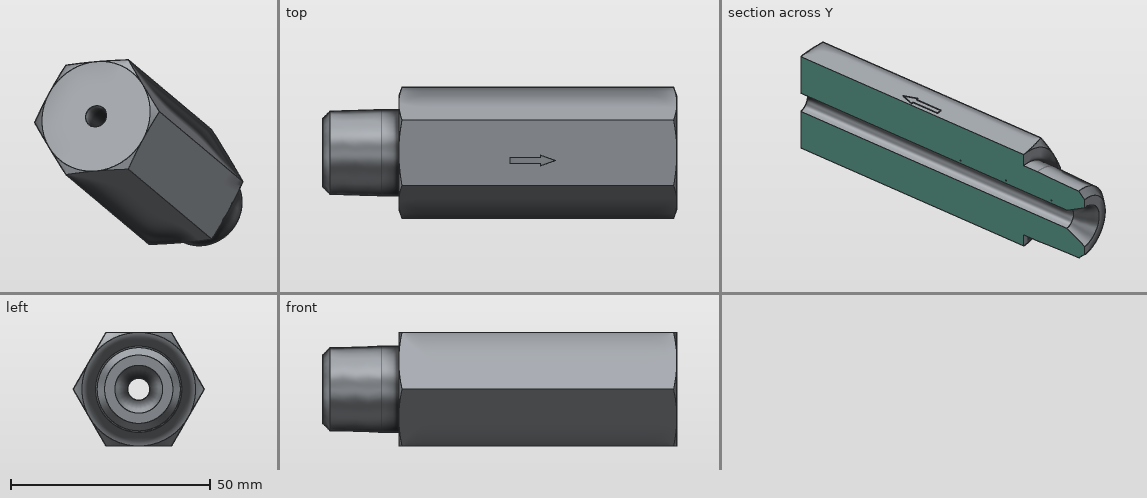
import cadquery as cq
import math

total_length = 88.9
across_flats = 28.5
across_corners = across_flats / math.cos(math.radians(30))

nose_length = 19.1
nose_diameter = 21.7
taper_length = 14.8
taper_ratio = 1 / 16
nose_chamfer = 1.9

body_chamfer = 0.8

bore_diameter = 5.5
countersink_diameter = 12.0
countersink_depth = 5.6

arrow_tail_x = 2.6
arrow_length = 11.4
arrow_head_length = 3.7
arrow_head_width = 2.7
arrow_shaft_width = 1.4
arrow_centre_y = -2.0
arrow_depth = 0.2

start_x = -total_length / 2
end_x = total_length / 2
body_x = start_x + nose_length


def revolve_about_x(profile):
    """Turn a closed (x, radius) profile around the X axis."""
    return cq.Workplane("XY").polyline(profile).close().revolve(360, (0, 0, 0), (1, 0, 0))


def make_body():
    """Hexagonal bar with its corners turned down to the across-flats circle at both ends."""
    hexagon = (
        cq.Workplane("YZ", origin=(body_x, 0, 0))
        .polygon(6, across_corners)
        .extrude(end_x - body_x)
    )
    turned_envelope = revolve_about_x([
        (body_x, 0),
        (body_x, across_flats / 2),
        (body_x + body_chamfer, across_corners / 2),
        (end_x - body_chamfer, across_corners / 2),
        (end_x, across_flats / 2),
        (end_x, 0),
    ])
    return hexagon.intersect(turned_envelope)


def make_nose():
    """Tapered thread blank with a chamfered tip and a straight neck."""
    nose_radius = nose_diameter / 2
    taper_drop = (taper_length - nose_chamfer) * taper_ratio / 2
    tip_radius = nose_radius - taper_drop
    return revolve_about_x([
        (start_x, 0),
        (start_x, tip_radius - nose_chamfer),
        (start_x + nose_chamfer, tip_radius),
        (start_x + taper_length, nose_radius),
        (body_x, nose_radius),
        (body_x, 0),
    ])


def make_bore():
    """Through bore that opens out in a cone at the tip of the nose."""
    return revolve_about_x([
        (start_x, 0),
        (start_x, countersink_diameter / 2),
        (start_x + countersink_depth, bore_diameter / 2),
        (end_x, bore_diameter / 2),
        (end_x, 0),
    ])


def make_arrow():
    """Arrow pointing to +X, sunk into the top flat."""
    neck_x = arrow_tail_x + arrow_length - arrow_head_length
    half_shaft = arrow_shaft_width / 2
    half_head = arrow_head_width / 2
    return (
        cq.Workplane("XY", origin=(0, arrow_centre_y, across_flats / 2))
        .polyline([
            (arrow_tail_x, -half_shaft),
            (neck_x, -half_shaft),
            (neck_x, -half_head),
            (arrow_tail_x + arrow_length, 0),
            (neck_x, half_head),
            (neck_x, half_shaft),
            (arrow_tail_x, half_shaft),
        ])
        .close()
        .extrude(-arrow_depth)
    )


result = make_body().union(make_nose()).cut(make_bore()).cut(make_arrow())